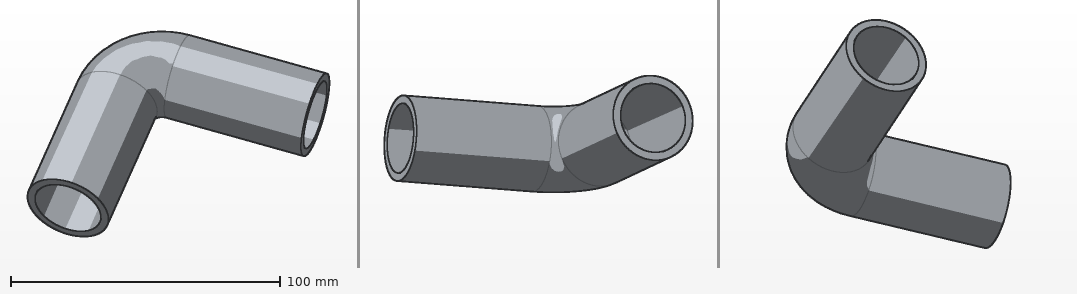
import cadquery as cq

outer_diameter = 32.0
bore_diameter = 26.0

overall_length = 88.0
bend_radius = 18.0
bend_angle = 90.0
leg_length = overall_length - outer_diameter / 2 - bend_radius


def elbow_rod(diameter):
    """Solid round bar along the elbow centreline; the leg axes cross at the origin."""
    radius = diameter / 2

    leg_y = (
        cq.Workplane("XZ", origin=(0, -bend_radius, 0))
        .circle(radius)
        .extrude(leg_length)
    )

    leg_x = (
        cq.Workplane("YZ", origin=(bend_radius, 0, 0))
        .circle(radius)
        .extrude(leg_length)
    )

    bend = (
        cq.Workplane("XZ", origin=(0, -bend_radius, 0))
        .circle(radius)
        .revolve(bend_angle, (bend_radius, 1, 0), (bend_radius, 0, 0))
    )

    return leg_y.union(bend).union(leg_x)


result = elbow_rod(outer_diameter).cut(elbow_rod(bore_diameter))